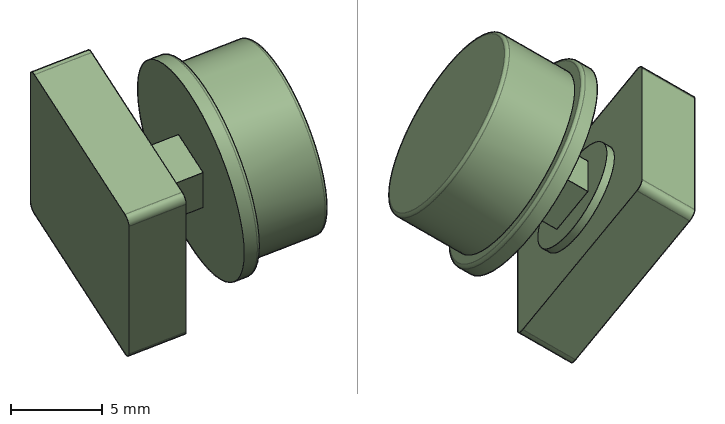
import cadquery as cq

plate_side = 12.0
plate_depth = 3.5
plate_corner_radius = 0.5

collar_diameter = 6.65
collar_depth = 0.5
stem_side = 3.0
stem_length = 2.8

flange_diameter = 13.0
flange_depth = 1.0
cap_diameter = 11.5
overall_depth = 12.3
rim_radius = 0.2

collar_start = plate_depth
stem_start = collar_start + collar_depth
flange_start = stem_start + stem_length
cap_start = flange_start + flange_depth
cap_depth = overall_depth - cap_start


def section_at(y):
    """Sketch plane across the part at y, with its normal along +Y."""
    return cq.Workplane(cq.Plane(origin=(0, y, 0), xDir=(1, 0, 0), normal=(0, 1, 0)))


def square_block(y, side, depth):
    return section_at(y).rect(side, side).extrude(depth)


def disc(y, diameter, depth):
    return section_at(y).circle(diameter / 2).extrude(depth)


plate = square_block(0, plate_side, plate_depth).edges("|Y").fillet(plate_corner_radius)
collar = disc(collar_start, collar_diameter, collar_depth)
stem = square_block(stem_start, stem_side, stem_length)

flange = disc(flange_start, flange_diameter, flange_depth).faces(">Y").edges().fillet(rim_radius)
cap = disc(cap_start, cap_diameter, cap_depth).faces(">Y").edges().fillet(rim_radius)

result = plate.union(collar).union(stem).union(flange).union(cap)